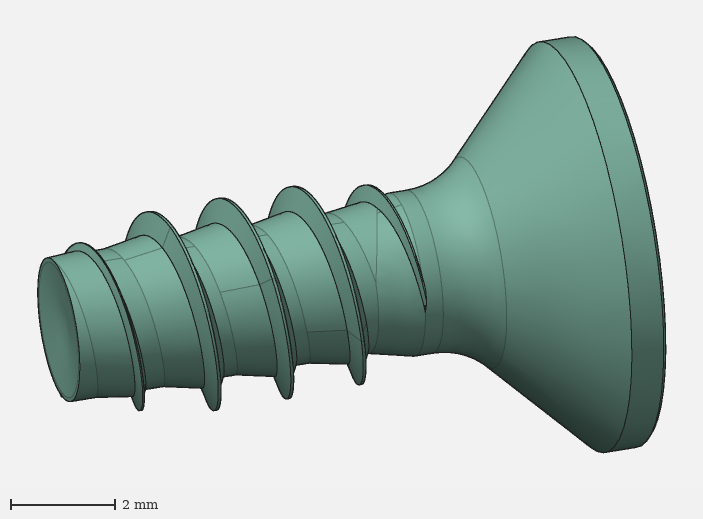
import cadquery as cq
import math


HEAD_RADIUS = 4.0
HEAD_EDGE_CHAMFER = 0.06
RIM_DEPTH = 0.7
CONE_ANGLE = math.radians(45)

NECK_RADIUS = 1.59
NECK_FILLET_END = 3.76
NECK_FILLET_RADIUS = 1.6
NECK_END = 4.12
CORE_RADIUS = 1.40
CORE_TAPER_END = 5.0
SCREW_LENGTH = 11.0

DIMPLE_RADIUS = 1.32
DIMPLE_DEPTH = 0.15

PITCH = 1.457
CREST_RADIUS = 2.01
CREST_HALF_WIDTH = 0.03
KNEE_RADIUS = 1.70
KNEE_OFFSET = 0.09
HEAD_FLANK_WIDTH = 0.27
TIP_FLANK_WIDTH = 0.18
TIP_FLANK_ROOT_RADIUS = 1.55
SLOPE_END_OFFSET = 0.94
REFERENCE_CREST_DEPTH = 5.87
RUN_IN_START = 3.95
RUN_IN_START_RADIUS = 1.69
RUN_IN_END = 5.5
RUN_OUT_START = 8.77
RUN_OUT_END_RADIUS = 1.43
SAMPLES_PER_TURN = 24
SINK = 0.03
RIDGE_ROOT_DEPTH = 0.2
ROOT_RADIUS = CORE_RADIUS - RIDGE_ROOT_DEPTH


def make_body():
    """Head, filleted neck and plain core, revolved about Y."""
    fillet_center = NECK_RADIUS + NECK_FILLET_RADIUS
    cone_end_radius = fillet_center - NECK_FILLET_RADIUS * math.cos(CONE_ANGLE)
    cone_end_depth = NECK_FILLET_END - NECK_FILLET_RADIUS * math.sin(CONE_ANGLE)
    mid_radius = fillet_center - NECK_FILLET_RADIUS * math.cos(CONE_ANGLE / 2)
    mid_depth = NECK_FILLET_END - NECK_FILLET_RADIUS * math.sin(CONE_ANGLE / 2)
    profile = (
        cq.Workplane("YZ")
        .moveTo(0, 0)
        .lineTo(0, HEAD_RADIUS - HEAD_EDGE_CHAMFER)
        .lineTo(-HEAD_EDGE_CHAMFER, HEAD_RADIUS)
        .lineTo(-RIM_DEPTH, HEAD_RADIUS)
        .lineTo(-cone_end_depth, cone_end_radius)
        .threePointArc((-mid_depth, mid_radius), (-NECK_FILLET_END, NECK_RADIUS))
        .lineTo(-NECK_END, NECK_RADIUS)
        .lineTo(-CORE_TAPER_END, CORE_RADIUS)
        .lineTo(-SCREW_LENGTH, CORE_RADIUS)
        .lineTo(-SCREW_LENGTH, 0)
        .close()
    )
    return profile.revolve(360, (0, 0, 0), (1, 0, 0))


def crest_radius_at(depth):
    """Crest radius: grows along the run-in, then shrinks along the run-out."""
    if depth < RUN_IN_END:
        share = (depth - RUN_IN_START) / (RUN_IN_END - RUN_IN_START)
        return RUN_IN_START_RADIUS + share * (CREST_RADIUS - RUN_IN_START_RADIUS)
    if depth > RUN_OUT_START:
        share = (depth - RUN_OUT_START) / (SCREW_LENGTH - RUN_OUT_START)
        return CREST_RADIUS + share * (RUN_OUT_END_RADIUS - CREST_RADIUS)
    return CREST_RADIUS


def thread_section(depth):
    """Corners (radius, depth) of the ridge section whose crest is at this depth."""
    scale = (crest_radius_at(depth) - CORE_RADIUS) / (CREST_RADIUS - CORE_RADIUS)
    head_root = depth - HEAD_FLANK_WIDTH * scale
    core_slope = (TIP_FLANK_ROOT_RADIUS - CORE_RADIUS) / (SLOPE_END_OFFSET - TIP_FLANK_WIDTH)
    slope_end = depth + SLOPE_END_OFFSET + SINK / core_slope

    def scaled(radius, offset):
        return (CORE_RADIUS + scale * (radius - CORE_RADIUS), depth + scale * offset)

    return [
        (ROOT_RADIUS, head_root),
        (CORE_RADIUS - SINK, head_root),
        scaled(KNEE_RADIUS, -KNEE_OFFSET),
        scaled(CREST_RADIUS, -CREST_HALF_WIDTH),
        scaled(CREST_RADIUS, CREST_HALF_WIDTH),
        scaled(TIP_FLANK_ROOT_RADIUS, TIP_FLANK_WIDTH),
        (CORE_RADIUS - SINK, slope_end),
        (ROOT_RADIUS, slope_end),
    ]


def place_section(depth):
    """Section corners in space; the right-hand helix turns from +Z toward -X."""
    angle = 2 * math.pi * (depth - REFERENCE_CREST_DEPTH) / PITCH
    return [
        cq.Vector(-radius * math.sin(angle), -corner_depth, radius * math.cos(angle))
        for radius, corner_depth in thread_section(depth)
    ]


def make_flanks(start, end):
    """Ruled faces between the corner helices for crest depths from start to end."""
    steps = math.ceil((end - start) / PITCH * SAMPLES_PER_TURN)
    sections = [place_section(start + (end - start) * i / steps) for i in range(steps + 1)]
    helices = [cq.Edge.makeSpline(list(points)) for points in zip(*sections)]
    return [cq.Face.makeRuledSurface(helices[i - 1], helices[i]) for i in range(len(helices))]


def make_end_cap(depth):
    """Flat face that closes the ridge at one end."""
    return cq.Face.makeFromWires(cq.Wire.makePolygon(place_section(depth), close=True))


def make_thread():
    """Helical ridge, closed at both ends and trimmed to the threaded part of the shank."""
    middle = (RUN_IN_END + RUN_OUT_START) / 2
    stations = [RUN_IN_START, RUN_IN_END, middle, RUN_OUT_START, SCREW_LENGTH]
    faces = [make_end_cap(stations[0]), make_end_cap(stations[-1])]
    for start, end in zip(stations, stations[1:]):
        faces.extend(make_flanks(start, end))
    ridge = cq.Solid.makeSolid(cq.Shell.makeShell(faces))
    shank_zone = (
        cq.Workplane("XZ", origin=(0, -NECK_END, 0))
        .circle(HEAD_RADIUS)
        .extrude(SCREW_LENGTH - NECK_END)
    )
    return shank_zone.intersect(cq.Workplane(obj=ridge.fix()))


def make_dimple():
    """Cone sunk into the tip face."""
    return cq.Workplane(
        obj=cq.Solid.makeCone(
            DIMPLE_RADIUS, 0, DIMPLE_DEPTH, cq.Vector(0, -SCREW_LENGTH, 0), cq.Vector(0, 1, 0)
        )
    )


result = make_body().union(make_thread()).cut(make_dimple())